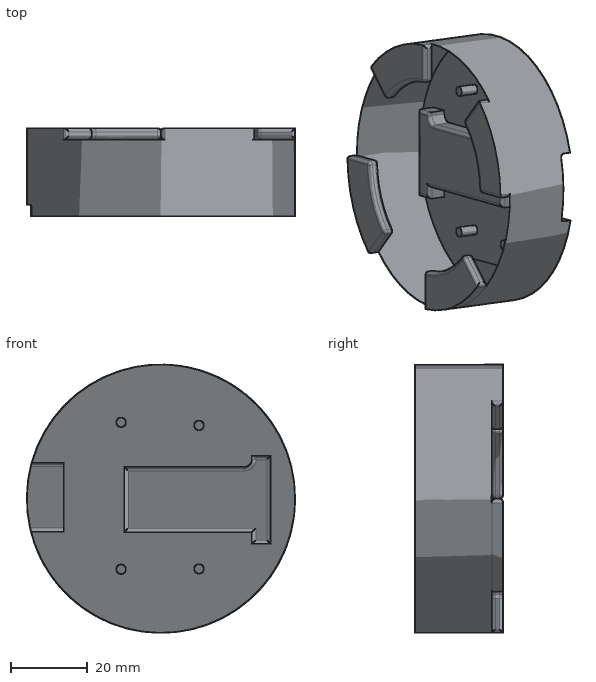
import cadquery as cq
import math

body_radius = 35.0
base_thickness = 20.0

tab_height = 3.0
tab_inner_radius = 25.0
tab_count = 4
tab_sweep = 45.0
tab_edge_radius = 1.0

floor_fillet = 1.0
pocket_depth = 5.0
slot_left = -9.6
slot_bottom = -8.7
slot_top = 8.3
bar_left = 23.7
bar_right = 28.6
bar_bottom = -11.8
bar_top = 11.2
bar_corner_radius = 2.0

notch_depth = 3.0
notch_inner_x = -25.4
notch_bottom = -8.6
notch_top = 9.4

hole_diameter = 2.5
hole_depth = 5.0
hole_centers = [(-10.4, 19.9), (9.9, 19.1), (-10.4, -18.4), (9.9, -18.3)]


def front_plane(depth=0.0):
    """Plane at y = depth, local axes (X, Z), normal pointing out of the front."""
    return cq.Workplane("XZ", origin=(0, depth, 0))


def make_base():
    return front_plane().circle(body_radius).extrude(-base_thickness)


def make_tab():
    """Ring segment rounded on every edge except the two arcs flush with the rim."""
    ring = (
        front_plane(base_thickness)
        .circle(body_radius)
        .circle(tab_inner_radius)
        .extrude(-tab_height)
    )
    wedge_height = 2 * body_radius
    wedge_width = wedge_height * math.tan(math.radians(tab_sweep))
    wedge = (
        front_plane(base_thickness)
        .moveTo(0, 0)
        .lineTo(wedge_width, wedge_height)
        .lineTo(0, wedge_height)
        .close()
        .extrude(-tab_height)
    )
    segment = ring.intersect(wedge)
    middle_radius = (tab_inner_radius + body_radius) / 2
    rounded_edges = segment.edges().filter(
        lambda edge: edge.geomType() == "LINE" or edge.radius() < middle_radius
    )
    return segment.newObject(rounded_edges.vals()).fillet(tab_edge_radius)


def make_pocket():
    pocket = (
        front_plane()
        .moveTo(slot_left, slot_bottom)
        .lineTo(bar_left, slot_bottom)
        .lineTo(bar_left, bar_bottom)
        .lineTo(bar_right, bar_bottom)
        .lineTo(bar_right, bar_top)
        .lineTo(bar_left, bar_top)
        .lineTo(bar_left, slot_top + bar_corner_radius)
        .radiusArc((bar_left - bar_corner_radius, slot_top), bar_corner_radius)
        .lineTo(slot_left, slot_top)
        .close()
        .extrude(-pocket_depth)
    )
    return pocket.faces(">Y").edges().fillet(floor_fillet)


def make_notch():
    notch_outer_x = -2 * body_radius
    notch = (
        front_plane()
        .moveTo(notch_outer_x, notch_bottom)
        .lineTo(notch_inner_x, notch_bottom)
        .lineTo(notch_inner_x, notch_top)
        .lineTo(notch_outer_x, notch_top)
        .close()
        .extrude(-notch_depth)
    )
    return notch.faces(">Y").edges("|X").fillet(floor_fillet)


def make_holes():
    return front_plane().pushPoints(hole_centers).circle(hole_diameter / 2).extrude(-hole_depth)


result = make_base()
tab = make_tab()
for index in range(tab_count):
    result = result.union(tab.rotate((0, 0, 0), (0, 1, 0), index * 360 / tab_count))
result = result.cut(make_pocket()).cut(make_notch()).cut(make_holes())